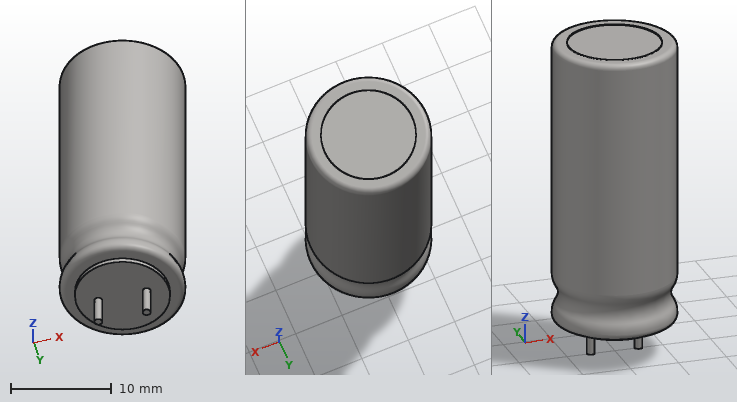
import cadquery as cq

total_height = 33.0
can_diameter = 12.5
can_radius = can_diameter / 2
rim_fillet = 0.6

lead_length = 3.0
lead_radius = 0.4
lead_spacing = 4.98
bung_radius = 4.72
bung_exposed_height = 0.5

recess_radius = bung_radius
recess_depth = 0.1

groove_depth = 0.63
groove_half_height = 2.1
crimp_land = 0.05

can_bottom = lead_length + bung_exposed_height
groove_bottom = can_bottom + rim_fillet + crimp_land
groove_middle = groove_bottom + groove_half_height
groove_top = groove_middle + groove_half_height

blend_depth = groove_depth / 2
blend_height = groove_half_height / 2
groove_arc_radius = (blend_depth**2 + blend_height**2) / (2 * blend_depth)
blend_radius = can_radius - blend_depth


def make_can():
    """Revolve the can about Z, with its crimped groove and rounded rims."""
    neck_radius = can_radius - groove_depth
    profile = (
        cq.Workplane("XZ")
        .moveTo(0, can_bottom)
        .lineTo(can_radius, can_bottom)
        .lineTo(can_radius, groove_bottom)
        .radiusArc((blend_radius, groove_bottom + blend_height), -groove_arc_radius)
        .threePointArc((neck_radius, groove_middle), (blend_radius, groove_top - blend_height))
        .radiusArc((can_radius, groove_top), -groove_arc_radius)
        .lineTo(can_radius, total_height)
        .lineTo(0, total_height)
        .close()
    )
    can = profile.revolve(360, (0, 0, 0), (0, 1, 0))
    return can.faces("<Z or >Z").edges("%CIRCLE").fillet(rim_fillet)


def cylinder(radius, bottom, top, x=0):
    """Vertical cylinder between two heights, centred at the given X."""
    return cq.Workplane("XY", origin=(x, 0, bottom)).circle(radius).extrude(top - bottom)


result = make_can()
result = result.cut(cylinder(recess_radius, total_height - recess_depth, total_height))
result = result.union(cylinder(bung_radius, lead_length, groove_bottom))
for side in (-1, 1):
    result = result.union(cylinder(lead_radius, 0, groove_bottom, side * lead_spacing / 2))